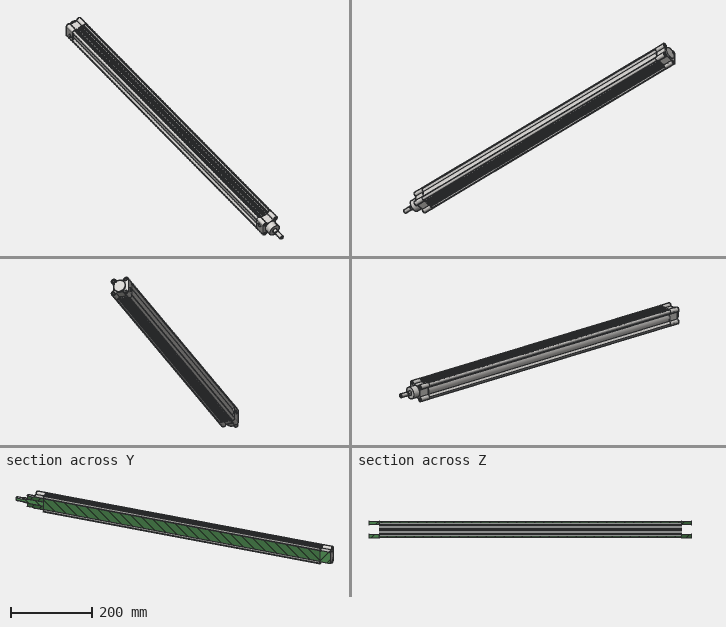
import cadquery as cq
import math


total_length = 846.0
pilot_length = 4.0
cap_length = 25.0
collar_length = 18.0
rod_reach = 26.0
thread_length = 22.0

shoulder_x = total_length - thread_length
front_cap_end = shoulder_x - rod_reach
rear_cap_start = pilot_length
barrel_start = rear_cap_start + cap_length
barrel_end = front_cap_end - cap_length
barrel_length = barrel_end - barrel_start
collar_end = front_cap_end + collar_length

cap_width = 45.0
cap_half = cap_width / 2
bolt_offset = 16.0
lobe_radius = cap_half - bolt_offset
boss_diameter = 30.5
bolt_hole_diameter = 6.0
bolt_hole_depth = 13.5
port_diameter = 9.0
port_depth = 8.0
port_inset = 15.0
port_height = 5.0

barrel_width = 44.0
barrel_half = barrel_width / 2
barrel_corner_radius = 5.0
bulge_diameter = 38.0
valley_depth = 8.5
valley_half_width = 14.0
slot_offset = 6.35
slot_opening = 5.0
slot_width = 8.5
slot_lip = 1.3
slot_depth = 7.0
groove_outer = barrel_half - barrel_corner_radius
groove_depth = 5.0
notch_half_width = 2.0
notch_depth = 1.0

rod_diameter = 12.0
thread_diameter = 10.0
rod_flats = 10.6
flats_margin = 1.0
shoulder_taper = 2.0
thread_chamfer = 2.0


def cross_section(x):
    """A plane across the cylinder at x, with local x along Y and local y along Z."""
    return cq.Workplane("YZ", origin=(x, 0, 0))


def cylinder(x_start, length, diameter):
    return cross_section(x_start).circle(diameter / 2).extrude(length)


def cap_block(x_start):
    """Square block with four round corner lobes: flat on -Y, recessed between lobes elsewhere."""
    lobe_inner = bolt_offset - lobe_radius
    lobe_outer = bolt_offset + lobe_radius / math.sqrt(2)
    return (
        cross_section(x_start)
        .moveTo(-cap_half, -bolt_offset)
        .lineTo(-cap_half, bolt_offset)
        .threePointArc((-bolt_offset, cap_half), (-lobe_inner, bolt_offset))
        .lineTo(lobe_inner, bolt_offset)
        .threePointArc((lobe_outer, lobe_outer), (bolt_offset, lobe_inner))
        .lineTo(bolt_offset, -lobe_inner)
        .threePointArc((lobe_outer, -lobe_outer), (lobe_inner, -bolt_offset))
        .lineTo(-lobe_inner, -bolt_offset)
        .threePointArc((-bolt_offset, -cap_half), (-cap_half, -bolt_offset))
        .close()
        .extrude(cap_length)
    )


def bolt_holes(x_start):
    """Four blind bolt holes, one in each lobe, running from x_start toward +X."""
    return (
        cross_section(x_start)
        .rect(2 * bolt_offset, 2 * bolt_offset, forConstruction=True)
        .vertices()
        .circle(bolt_hole_diameter / 2)
        .extrude(bolt_hole_depth)
    )


def port(x, z):
    """Blind air port bored into the flat -Y side of a cap."""
    return (
        cq.Workplane("XZ", origin=(x, -cap_half, z))
        .circle(port_diameter / 2)
        .extrude(-port_depth)
    )


def make_rear_cap():
    cap = cap_block(rear_cap_start)
    cap = cap.union(cylinder(0, pilot_length, boss_diameter))
    cap = cap.cut(bolt_holes(rear_cap_start))
    return cap.cut(port(rear_cap_start + port_inset, -port_height))


def make_front_cap():
    cap = cap_block(barrel_end)
    cap = cap.union(cylinder(front_cap_end, collar_length, boss_diameter))
    cap = cap.cut(bolt_holes(front_cap_end - bolt_hole_depth))
    cap = cap.cut(port(front_cap_end - port_inset, port_height))
    return cap.cut(cylinder(barrel_end, cap_length + collar_length, rod_diameter))


def side_valley():
    """Cut on the +Y side: a 45 degree sided valley around the bulging tube wall."""
    floor = barrel_half - valley_depth
    floor_half_width = valley_half_width - valley_depth
    valley = (
        cross_section(barrel_start)
        .polyline([
            (barrel_half, -valley_half_width),
            (barrel_half, valley_half_width),
            (floor, floor_half_width),
            (floor, -floor_half_width),
        ])
        .close()
        .extrude(barrel_length)
    )
    return valley.cut(cylinder(barrel_start, barrel_length, bulge_diameter))


def sensor_slot():
    """T-slot in the top, on the +Y half."""
    opening_inner = slot_offset - slot_opening / 2
    opening_outer = slot_offset + slot_opening / 2
    undercut_inner = slot_offset - slot_width / 2
    undercut_outer = slot_offset + slot_width / 2
    lip_z = barrel_half - slot_lip
    floor_z = barrel_half - slot_depth
    return (
        cross_section(barrel_start)
        .polyline([
            (opening_inner, barrel_half),
            (opening_inner, lip_z),
            (undercut_inner, lip_z),
            (undercut_inner, floor_z),
            (undercut_outer, floor_z),
            (undercut_outer, lip_z),
            (opening_outer, lip_z),
            (opening_outer, barrel_half),
        ])
        .close()
        .extrude(barrel_length)
    )


def edge_groove():
    """Groove in the top between the sensor slot and the rounded corner, on the +Y half."""
    groove_inner = groove_outer - groove_depth
    return (
        cross_section(barrel_start)
        .polyline([
            (groove_outer, barrel_half),
            (groove_inner, barrel_half),
            (groove_inner, barrel_half - groove_depth),
        ])
        .close()
        .extrude(barrel_length)
    )


def centre_notch():
    """Shallow V along the middle of the top."""
    return (
        cross_section(barrel_start)
        .polyline([
            (-notch_half_width, barrel_half),
            (notch_half_width, barrel_half),
            (0, barrel_half - notch_depth),
        ])
        .close()
        .extrude(barrel_length)
    )


def make_barrel():
    barrel = (
        cross_section(barrel_start)
        .rect(barrel_width, barrel_width)
        .extrude(barrel_length)
        .edges("|X")
        .fillet(barrel_corner_radius)
    )
    for turn in (0, 180):
        cuts = [side_valley(), centre_notch()]
        for half_cut in (sensor_slot(), edge_groove()):
            cuts += [half_cut, half_cut.mirror("XZ")]
        for cut in cuts:
            barrel = barrel.cut(cut.rotate((0, 0, 0), (1, 0, 0), turn))
    return barrel


def make_rod():
    """Rod through the front cap, with two wrench flats on +Y and -Y and a plain stud for the thread."""
    shank = cylinder(barrel_end, shoulder_x - barrel_end, rod_diameter)
    flats_length = shoulder_x - flats_margin - collar_end
    flats_centre = (collar_end + flats_length / 2, 0, 0)
    around = cq.Workplane(origin=flats_centre).box(flats_length, rod_diameter, rod_diameter)
    between = cq.Workplane(origin=flats_centre).box(flats_length, rod_flats, rod_diameter)
    shank = shank.cut(around.cut(between))
    taper = (
        cross_section(shoulder_x)
        .circle(rod_diameter / 2)
        .workplane(offset=shoulder_taper)
        .circle(thread_diameter / 2)
        .loft()
    )
    stud = cylinder(shoulder_x, thread_length, thread_diameter).faces(">X").chamfer(thread_chamfer)
    return shank.union(taper).union(stud)


rear_cap = make_rear_cap()
barrel = make_barrel()
front_cap = make_front_cap()
piston_rod = make_rod()

result = cq.Compound.makeCompound([
    rear_cap.val(),
    barrel.val(),
    front_cap.val(),
    piston_rod.val(),
])